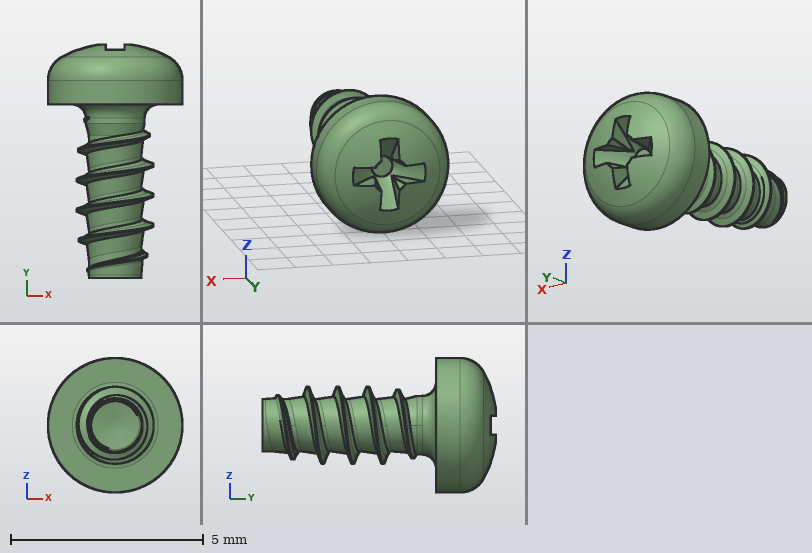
import cadquery as cq
import math


head_radius = 1.75
head_height = 1.6
head_side_height = 0.62
shoulder_radius = 0.7
rim_round = 0.03

wing_width = 0.48
wing_tip_radius = 0.968
recess_core_radius = 0.47
recess_bottom_radius = 0.28
recess_depth = 1.0
recess_overshoot = 0.1

shank_length = 4.5
neck_radius = 0.765
neck_fillet = 0.35
neck_end = 0.49
core_radius = 0.685
core_start = 0.8
dimple_radius = 0.63
dimple_depth = 0.1

thread_pitch = 0.78
crest_radius = 1.0
crest_half_width = 0.018
root_embed = 0.06
first_crest_depth = 0.01
helix_start = 0.3
helix_end = 4.46
fade_in_start = 0.2
thread_start = 0.47
start_fraction = 0.49
full_thread_start = 1.35
full_thread_end = 3.33
fade_end = 4.44
samples_per_turn = 24

tooth_corners = [
    (-root_embed, -0.203),
    (0.125, -0.085),
    (crest_radius - core_radius, -crest_half_width),
    (crest_radius - core_radius, crest_half_width),
    (0.06, 0.11),
    (-0.005, 0.55),
    (-root_embed, 0.55),
]


def arc_midpoint(center, radius, start_angle, end_angle):
    angle = (start_angle + end_angle) / 2
    return (center[0] + radius * math.cos(angle), center[1] + radius * math.sin(angle))


shoulder_center = (head_radius - shoulder_radius, head_side_height)
crown_rise = head_height - head_side_height
dome_radius = (shoulder_center[0] ** 2 + crown_rise ** 2 - shoulder_radius ** 2) / (
    2 * (crown_rise - shoulder_radius)
)
dome_center = (0, head_height - dome_radius)


def make_head():
    tangent_angle = math.acos(shoulder_center[0] / (dome_radius - shoulder_radius))
    tangent_point = (
        dome_radius * math.cos(tangent_angle),
        dome_center[1] + dome_radius * math.sin(tangent_angle),
    )
    profile = (
        cq.Workplane("XY")
        .lineTo(head_radius, 0)
        .lineTo(head_radius, head_side_height)
        .threePointArc(arc_midpoint(shoulder_center, shoulder_radius, 0, tangent_angle), tangent_point)
        .threePointArc(
            arc_midpoint(dome_center, dome_radius, tangent_angle, math.pi / 2), (0, head_height)
        )
        .close()
    )
    head = profile.revolve(360, (0, 0, 0), (0, 1, 0))
    return head.faces("<Y").edges().fillet(rim_round)


def make_taper(surface_radius):
    """Cone about Y with the given radius at the dome surface, narrowing to the recess bottom."""
    surface_y = dome_center[1] + math.sqrt(dome_radius ** 2 - surface_radius ** 2)
    bottom_y = head_height - recess_depth
    top_y = head_height + recess_overshoot
    slope = (surface_radius - recess_bottom_radius) / (surface_y - bottom_y)
    top_radius = recess_bottom_radius + slope * (top_y - bottom_y)
    profile = cq.Workplane("XY").polyline(
        [(0, bottom_y), (recess_bottom_radius, bottom_y), (top_radius, top_y), (0, top_y)]
    )
    return profile.close().revolve(360, (0, 0, 0), (0, 1, 0))


def make_recess():
    wing_length = 2 * head_radius
    bar_height = 2 * head_height
    bar = cq.Workplane("XY").box(wing_length, bar_height, wing_width).translate((0, head_height, 0))
    cross = bar.union(bar.rotate((0, 0, 0), (0, 1, 0), 90))
    return make_taper(wing_tip_radius).intersect(cross).union(make_taper(recess_core_radius))


def make_shank():
    fillet_center = (neck_radius + neck_fillet, -neck_fillet)
    embed_y = head_side_height / 2
    return (
        cq.Workplane("XY")
        .moveTo(0, embed_y)
        .lineTo(fillet_center[0], embed_y)
        .lineTo(fillet_center[0], 0)
        .threePointArc(
            arc_midpoint(fillet_center, neck_fillet, math.pi / 2, math.pi), (neck_radius, -neck_fillet)
        )
        .lineTo(neck_radius, -neck_end)
        .lineTo(core_radius, -core_start)
        .lineTo(core_radius, -shank_length)
        .lineTo(dimple_radius, -shank_length)
        .lineTo(0, dimple_depth - shank_length)
        .close()
        .revolve(360, (0, 0, 0), (0, 1, 0))
    )


def height_fraction(depth):
    """Tooth height relative to the full thread where the crest is at the given depth."""
    steep_rise = start_fraction * (depth - fade_in_start) / (thread_start - fade_in_start)
    slow_rise = 1 + (1 - start_fraction) * (depth - full_thread_start) / (full_thread_start - thread_start)
    fall = (fade_end - depth) / (fade_end - full_thread_end)
    return min(1, steep_rise, slow_rise, fall)


def width_fraction(depth):
    """Axial tooth scale that keeps the whole tooth short of the shank end."""
    relief_length = tooth_corners[-1][1]
    return min(1, (shank_length - depth) / relief_length)


def corner_curve(corner):
    """Right-handed helical edge that one tooth corner follows toward the tip."""
    height, offset = corner
    sample_count = round((helix_end - helix_start) / thread_pitch * samples_per_turn)
    points = []
    for index in range(sample_count + 1):
        depth = helix_start + (helix_end - helix_start) * index / sample_count
        angle = 2 * math.pi * (depth - first_crest_depth) / thread_pitch
        scale = height_fraction(depth) if height > 0 else 1
        radius = core_radius + height * scale
        y = -depth - offset * width_fraction(depth)
        points.append(cq.Vector(radius * math.cos(angle), y, radius * math.sin(angle)))
    return cq.Edge.makeSpline(points)


def make_thread():
    curves = [corner_curve(corner) for corner in tooth_corners]
    faces = []
    for index, curve in enumerate(curves):
        faces.append(cq.Face.makeRuledSurface(curves[index - 1], curve))
    for end in (0, 1):
        outline = [curve.positionAt(end) for curve in curves]
        faces.append(cq.Face.makeFromWires(cq.Wire.makePolygon(outline, close=True)))
    return cq.Workplane(cq.Solid.makeSolid(cq.Shell.makeShell(faces)))


result = make_head().union(make_shank()).cut(make_recess()).union(make_thread())